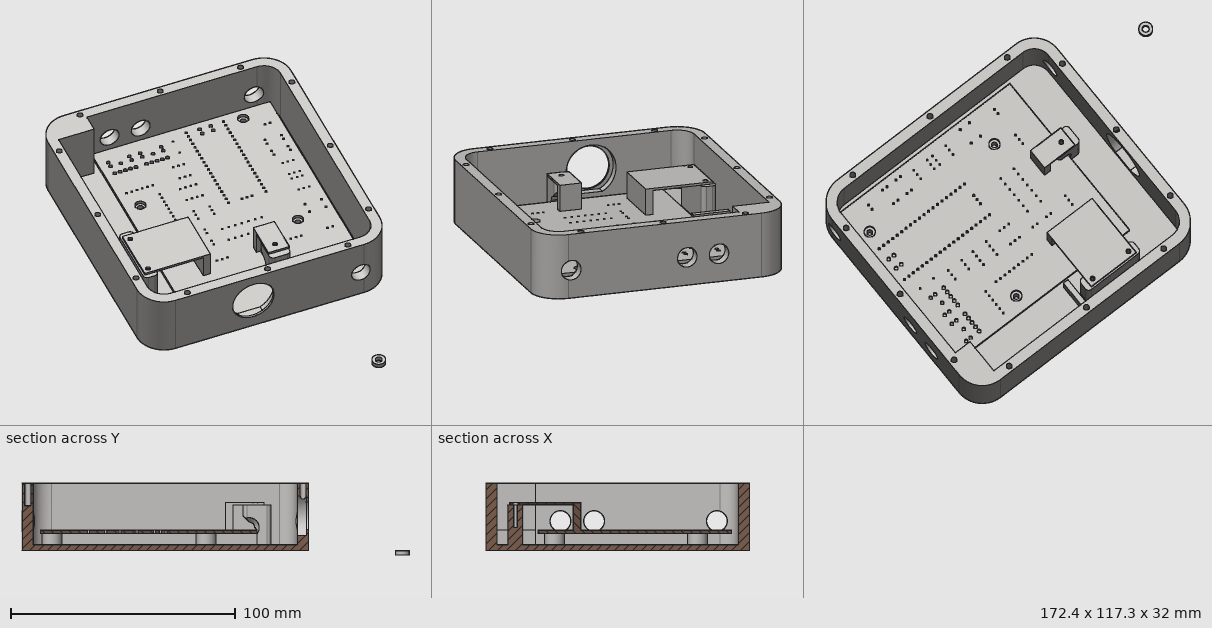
import cadquery as cq

HOUSING_X = 127.5
HOUSING_Y = 117.3
HOUSING_H = 30.0
WALL = 5.0
FLOOR = 2.5
CORNER_R = 13.1
INNER_X = HOUSING_X / 2 - WALL
INNER_Y = HOUSING_Y / 2 - WALL

LID_HOLE_D = 2.5
LID_HOLE_DEPTH = 10.0
LID_PITCH_X = 43.8
LID_PITCH_Y = 38.8
RIM_X = (HOUSING_X - WALL) / 2
RIM_Y = (HOUSING_Y - WALL) / 2

BLOCK_X = 8.3
BLOCK_BACK_Y = -36.5
BLOCK_OVERLAP = 0.9
RIB_X = 2.4
RIB_W = 2.5

CABLE_HOLE_D = 9.1
CABLE_HOLE_Z = 13.1
THROUGH_CABLE_Y = 44.1
CABLE_HOLE_YS = [THROUGH_CABLE_Y, -10.5, -25.5]

OPENING_Y = -8.0
OPENING_Z = 15.5
OPENING_D = 20.0
RECESS_D = 23.6
RECESS_DEPTH = 4.0
FLAT_LENGTH = 10.7
FLAT_DROP = ((RECESS_D / 2) ** 2 - (FLAT_LENGTH / 2) ** 2) ** 0.5

BOARD_X = 96.5
BOARD_Y = 86.1
BOARD_T = 1.5
BOARD_TOP = 9.1
BOARD_BOTTOM = BOARD_TOP - BOARD_T
BOARD_LEFT = -55.6
BOARD_RIGHT = BOARD_LEFT + BOARD_X
BOARD_FRONT = -35.5
MOUNT_HOLE_D = 5.0
MOUNT_POINTS = [(-50.5, 35.5), (18.1, 32.9), (-17.5, -28.0)]
STANDOFF_D = 9.0
STANDOFF_HOLE_D = 2.5

PLATE_T = 1.0
POST_TOP = 20.3
BRACKET_TOP = POST_TOP + PLATE_T
LEG_T = 3.5
LEG_H = BRACKET_TOP - BOARD_TOP
BRACKET_HOLE_D = 2.0
POST_HOLE_D = 1.5
POST_HOLE_DEPTH = 10.0
POST_R = 1.9

SMALL_X = 26.7
SMALL_Y = 7.8
SMALL_LENGTH = 17.2
SMALL_WIDTH = 10.2
SMALL_SCREWS = [(40.0, 12.5)]
SMALL_POST_X = 34.5
SMALL_POST_Y = 7.5
SMALL_POST_LENGTH = 12.5
SMALL_POST_WIDTH = 9.8
OVERHANG = BOARD_RIGHT - SMALL_POST_X

CROSS_BORE_X = 37.2
CROSS_BORE_Z = 10.2
CROSS_BORE_D = 5.0
COUNTERSINK_D = 9.0
COUNTERSINK_DEPTH = (COUNTERSINK_D - CROSS_BORE_D) / 2

BIG_X = 9.1
BIG_Y = -48.0
BIG_LENGTH = 25.5
BIG_WIDTH = 31.7
BIG_SCREWS = [(11.9, -45.5), (32.2, -45.5)]
BIG_POST_X = 6.5
BIG_POST_Y = -49.0
BIG_POST_LENGTH = 30.1
BIG_POST_WIDTH = 6.7
BRACKET_SCREWS = SMALL_SCREWS + BIG_SCREWS

RING_D = 6.2
RING_HOLE_D = 3.1
RING_H = 2.0
RING_X = 105.5
RING_Y = 35.0

PIN_COUNT = 20
PIN_SPAN = 48.2
PITCH = PIN_SPAN / (PIN_COUNT - 1)


def box(x, y, z, length, width, height):
    """A box given by its lowest corner and its size."""
    return cq.Workplane("XY").box(length, width, height, centered=False).translate((x, y, z))


def grid(left, top, columns, rows, step_x=PITCH, step_y=PITCH):
    """Points of a rectangular pattern, starting at its -X, +Y corner."""
    return [(left + i * step_x, top - j * step_y) for i in range(columns) for j in range(rows)]


def drill(body, points, diameter, top, depth):
    """Cut vertical round holes downward from the height `top`."""
    plane = cq.Workplane("XY", origin=(0, 0, top - depth))
    return body.cut(plane.pushPoints(points).circle(diameter / 2).extrude(depth))


def bore_x(y, z, diameter, start, length):
    """A round cutter along +X."""
    return cq.Workplane("YZ", origin=(start, y, z)).circle(diameter / 2).extrude(length)


def flat_bore(diameter, length):
    """A round cutter through the +X wall with its bottom cut off flat."""
    bore = bore_x(OPENING_Y, OPENING_Z, diameter, INNER_X, length)
    kept = box(INNER_X, OPENING_Y - diameter / 2, OPENING_Z - FLAT_DROP, length, diameter, diameter + FLAT_DROP)
    return bore.intersect(kept)


def post(x, y, length, width):
    """A post with rounded corners, standing on the floor."""
    return box(x, y, FLOOR, length, width, POST_TOP - FLOOR).edges("|Z").fillet(POST_R)


def make_shell():
    outside = cq.Workplane("XY").rect(HOUSING_X, HOUSING_Y).extrude(HOUSING_H)
    cavity = cq.Workplane("XY", origin=(0, 0, FLOOR)).rect(2 * INNER_X, 2 * INNER_Y).extrude(HOUSING_H)
    return outside.edges("|Z").fillet(CORNER_R).cut(cavity.edges("|Z").fillet(CORNER_R - WALL))


def make_corner_block():
    """Reaches slightly into both walls so that it joins them."""
    return box(
        -INNER_X - BLOCK_OVERLAP,
        -INNER_Y - BLOCK_OVERLAP,
        FLOOR,
        BLOCK_X + BLOCK_OVERLAP,
        BLOCK_BACK_Y + INNER_Y + BLOCK_OVERLAP,
        HOUSING_H - FLOOR,
    )


def make_standoffs():
    plane = cq.Workplane("XY", origin=(0, 0, FLOOR))
    return plane.pushPoints(MOUNT_POINTS).circle(STANDOFF_D / 2).extrude(BOARD_BOTTOM - FLOOR)


def make_cross_bore():
    start = cq.Vector(CROSS_BORE_X, SMALL_POST_Y, CROSS_BORE_Z)
    along_y = cq.Vector(0, 1, 0)
    sink = cq.Solid.makeCone(COUNTERSINK_D / 2, CROSS_BORE_D / 2, COUNTERSINK_DEPTH, start, along_y)
    bore = cq.Solid.makeCylinder(CROSS_BORE_D / 2, SMALL_POST_WIDTH, start, along_y)
    return cq.Workplane(sink.fuse(bore))


def make_small_post():
    under_overhang = (
        cq.Workplane("XZ", origin=(0, SMALL_POST_Y, 0))
        .moveTo(SMALL_POST_X, FLOOR)
        .lineTo(BOARD_RIGHT, FLOOR)
        .lineTo(BOARD_RIGHT, BOARD_TOP)
        .lineTo(SMALL_POST_X, BOARD_TOP + OVERHANG)
        .close()
        .extrude(-SMALL_POST_WIDTH)
    )
    body = post(SMALL_POST_X, SMALL_POST_Y, SMALL_POST_LENGTH, SMALL_POST_WIDTH)
    return body.cut(under_overhang).cut(make_cross_bore())


def make_housing():
    body = make_shell().union(make_corner_block())
    body = body.union(box(RIB_X, -INNER_Y, FLOOR, RIB_W, BLOCK_BACK_Y + INNER_Y, BOARD_TOP - FLOOR))
    body = body.union(make_standoffs())
    body = drill(body, MOUNT_POINTS, STANDOFF_HOLE_D, BOARD_BOTTOM, BOARD_BOTTOM - FLOOR)
    body = body.union(make_small_post())
    body = body.union(post(BIG_POST_X, BIG_POST_Y, BIG_POST_LENGTH, BIG_POST_WIDTH))
    body = drill(body, BRACKET_SCREWS, POST_HOLE_D, POST_TOP, POST_HOLE_DEPTH)

    lid_holes = [(i * LID_PITCH_X, j * RIM_Y) for i in (-1, 0, 1) for j in (-1, 1)]
    lid_holes += [(i * RIM_X, j * LID_PITCH_Y) for i in (-1, 1) for j in (-1, 0, 1)]
    body = drill(body, lid_holes, LID_HOLE_D, HOUSING_H, LID_HOLE_DEPTH)

    for y in CABLE_HOLE_YS:
        body = body.cut(bore_x(y, CABLE_HOLE_Z, CABLE_HOLE_D, -HOUSING_X / 2, 2 * WALL))
    body = body.cut(bore_x(THROUGH_CABLE_Y, CABLE_HOLE_Z, CABLE_HOLE_D, INNER_X - WALL, 2 * WALL))
    body = body.cut(flat_bore(RECESS_D, RECESS_DEPTH))
    return body.cut(flat_bore(OPENING_D, WALL))


def component_holes():
    """Pairs of a hole diameter and the points drilled with it."""
    return [
        (1.0, grid(-52.0, 26.7, PIN_COUNT, 2, PITCH, 18.1)),
        (1.0, grid(-3.8, 20.0, 1, 3, PITCH, 2.4)),
        (1.7, grid(-51.7, 20.3, 2, 2, 3.0, 5.3)),
        (0.9, grid(-34.1, 47.0, 2, 2, PITCH, 8.0) + grid(-26.5, 47.0, 2, 2, PITCH, 8.0)),
        (0.9, grid(-43.2, 45.5, 1, 2)),
        (0.7, grid(-17.5, 45.6, 1, 3) + grid(-10.0, 45.6, 2, 3, 3.1) + grid(0.7, 45.6, 1, 3)),
        (1.0, grid(10.3, 47.5, 2, 2, 5.2, 8.0)),
        (0.8, grid(28.0, 45.5, 1, 2) + grid(28.0, 30.3, 1, 3) + grid(28.0, -5.3, 1, 3)),
        (0.7, grid(10.5, 18.6, 2, 7, 7.4, 3.19)),
        (0.7, grid(-49.1, 1.0, 2, 1, 7.5)),
        (0.8, grid(-34.1, -0.2, 2, 3, 7.5) + grid(-20.2, -0.2, 2, 4, 7.5)),
        (0.75, grid(-4.8, 0, 3, 2, PITCH, 7.8) + grid(7.8, -7.8, 2, 1) + grid(15.5, -7.8, 2, 1)),
        (0.8, grid(-20.7, -17.4, 9, 1) + grid(-27.0, -18.1, 1, 6)),
        (1.6, grid(-48.0, -5.2, 2, 2, PITCH, 10.2) + grid(-48.0, -20.5, 2, 2, PITCH, 10.2)),
        (1.6, grid(-45.5, -10.2, 1, 2, PITCH, 15.5)),
        (1.7, grid(-40.7, -5.2, 1, 5) + grid(-40.7, -20.5, 1, 5)),
    ]


def make_board():
    """The circuit board with its two brackets."""
    body = box(BOARD_LEFT, BOARD_FRONT, BOARD_BOTTOM, BOARD_X, BOARD_Y, BOARD_T)
    body = body.union(box(SMALL_X, SMALL_Y, POST_TOP, SMALL_LENGTH, SMALL_WIDTH, PLATE_T))
    body = body.union(box(SMALL_X, SMALL_Y, BOARD_TOP, LEG_T, SMALL_WIDTH, LEG_H))
    body = body.union(box(BIG_X, BIG_Y, POST_TOP, BIG_LENGTH, BIG_WIDTH, PLATE_T))
    body = body.union(box(BIG_X, BIG_Y + BIG_WIDTH - LEG_T, BOARD_TOP, BIG_LENGTH, LEG_T, LEG_H))
    body = drill(body, BRACKET_SCREWS, BRACKET_HOLE_D, BRACKET_TOP, PLATE_T)
    body = drill(body, MOUNT_POINTS, MOUNT_HOLE_D, BOARD_TOP, BOARD_T)
    for diameter, points in component_holes():
        body = drill(body, points, diameter, BOARD_TOP, BOARD_T)
    return body


def make_ring():
    plane = cq.Workplane("XY", origin=(RING_X, RING_Y, -RING_H))
    return plane.circle(RING_D / 2).circle(RING_HOLE_D / 2).extrude(RING_H)


housing = make_housing()
board = make_board()
ring = make_ring()
result = cq.Compound.makeCompound([housing.val(), board.val(), ring.val()])